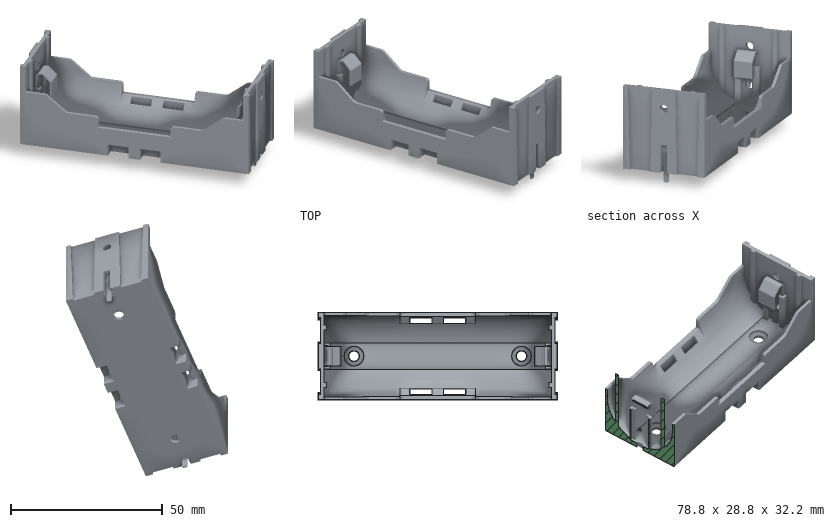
import cadquery as cq
import math

LENGTH = 78.8
WIDTH = 28.8
HEIGHT = 28.5
FLOOR = 2.0
FLOOR_WIDTH = 8.8

CRADLE_RADIUS = 13.4
CRADLE_AXIS_Z = 15.3
END_WALL = 2.0
INNER_X = LENGTH / 2 - END_WALL

SHOULDER_Z = 19.2
SHOULDER_X = 30.5
MIDDLE_Z = 13.55
MIDDLE_X = 23.4
GAP_Z = 9.7
GAP_X = 12.49
GAP_CORNER_RADIUS = 0.95
LOWER_BEND_RADII = (1.0, 2.7)
UPPER_BEND_RADII = (1.0, 2.0)

CHAMFER_TOP_Y = 13.0
CHAMFER_FOOT_Y = 10.7
WINDOW_LENGTH = 7.2
WINDOW_SPACING = 11.1
WINDOW_INNER_Y = 10.835
WINDOW_OUTER_Y = 12.6
WINDOW_NOTCH_Z = 4.0

RECESS_DEPTH = 0.8
PAD_TOP_Y = 4.2
PAD_BOTTOM_Y = 4.65
CORNER_TOP_Y = 12.7
CORNER_BOTTOM_Y = 11.9
RIB_DEPTH = 0.8
RIB_WIDTH = 1.6
RIB_Y = 9.45
RIB_FOOT_Z = 3.95
SIGHT_HOLE_DIAMETER = 2.8
SIGHT_HOLE_Z = 22.1

HOLDER_DEPTH = 1.9
HOLDER_WIDTH = 8.5
HOLDER_TOP_Z = 15.9
GROOVE_DEPTH = 1.3
GROOVE_WIDTH = 6.9
HOLDER_OPENING = 4.7
SLOT_WIDTH = 2.3
SLOT_TOP_Z = 9.8
SLOT_FLARE_WIDTH = 2.75
SLOT_FLARE_Z = 0.5

SCREW_X = 27.6
SCREW_DIAMETER = 3.4
COUNTERBORE_DIAMETER = 6.5
COUNTERBORE_DEPTH = 0.9

SHEET = 0.5
OUTER_BEND_RADIUS = 0.7
CONTACT_WIDTH = 6.5
CONTACT_TOP_Z = 21.1
BACK_TOP_Z = 20.1
FLAT_START = 1.0
FLAT_END = 2.6
NOSE = 5.5
NOSE_TOP_Z = 18.35
NOSE_BOTTOM_Z = 12.8
TAIL_WIDTH = 1.8
TAIL_LENGTH = 3.7
TAIL_CHAMFER = 0.4
PLATE_WINDOW_WIDTH = 2.5
PLATE_WINDOW_BOTTOM_Z = 7.8
PLATE_WINDOW_TOP_Z = 11.8
TONGUE_WIDTH = 1.3
TONGUE_BOTTOM_Z = 8.0
TONGUE_BEND_Z = 10.1
TONGUE_REACH = 0.4

ENDS = (-1, 1)


def box(x_range, y_range, z_range):
    """Box between pairs of coordinates, given in any order."""
    (x0, x1), (y0, y1), (z0, z1) = sorted(x_range), sorted(y_range), sorted(z_range)
    return cq.Workplane("XY").box(x1 - x0, y1 - y0, z1 - z0, centered=False).translate((x0, y0, z0))


def edges_at(x, z):
    """Selector for the edge parallel to Y at this place."""
    reach = 0.1
    return cq.selectors.BoxSelector((x - reach, -WIDTH, z - reach), (x + reach, WIDTH, z + reach))


def mirrored_at(end, shape):
    """Shape modelled at the -X end, placed at the -X (-1) or +X (1) end."""
    return shape if end < 0 else shape.mirror("YZ")


def side_outline():
    """Front outline of the housing, extruded over its width, with its bends rounded."""
    half = LENGTH / 2
    right_edge = [
        (GAP_X, GAP_Z),
        (GAP_X, MIDDLE_Z),
        (MIDDLE_X, MIDDLE_Z),
        (SHOULDER_X, SHOULDER_Z),
        (INNER_X, SHOULDER_Z),
        (INNER_X, HEIGHT),
        (half, HEIGHT),
        (half, 0),
    ]
    left_edge = [(-x, z) for x, z in reversed(right_edge)]
    block = cq.Workplane("XZ").polyline(right_edge + left_edge).close().extrude(WIDTH / 2, both=True)
    for end, lower_radius, upper_radius in zip(ENDS, LOWER_BEND_RADII, UPPER_BEND_RADII):
        block = block.edges(edges_at(end * GAP_X, MIDDLE_Z)).fillet(GAP_CORNER_RADIUS)
        block = block.edges(edges_at(end * MIDDLE_X, MIDDLE_Z)).fillet(lower_radius)
        block = block.edges(edges_at(end * SHOULDER_X, SHOULDER_Z)).fillet(upper_radius)
    return block


def cradle():
    """Round-bottomed trough between the end walls, with a flat strip along its floor."""
    trough = (
        cq.Workplane("YZ")
        .moveTo(-CRADLE_RADIUS, HEIGHT)
        .lineTo(-CRADLE_RADIUS, CRADLE_AXIS_Z)
        .threePointArc((0, CRADLE_AXIS_Z - CRADLE_RADIUS), (CRADLE_RADIUS, CRADLE_AXIS_Z))
        .lineTo(CRADLE_RADIUS, HEIGHT)
        .close()
        .extrude(INNER_X, both=True)
    )
    floor_sides = (-FLOOR_WIDTH / 2, FLOOR_WIDTH / 2)
    strip = box((-INNER_X, INNER_X), floor_sides, (FLOOR, CRADLE_AXIS_Z))
    under_floor = box((-INNER_X, INNER_X), floor_sides, (0, FLOOR))
    return trough.union(strip).cut(under_floor)


def gap_chamfers():
    """Sloped inner faces of both side walls along the finger gap."""
    foot_z = CRADLE_AXIS_Z - math.sqrt(CRADLE_RADIUS**2 - CHAMFER_FOOT_Y**2)
    half_section = [
        (CHAMFER_FOOT_Y, foot_z),
        (CHAMFER_TOP_Y, GAP_Z),
        (CHAMFER_FOOT_Y, GAP_Z),
    ]
    wedge = cq.Workplane("YZ").polyline(half_section).close().extrude(GAP_X, both=True)
    return wedge.union(wedge.mirror("XZ"))


def windows():
    """Windows through the sloped faces, open to the outside near the bottom."""
    cutters = cq.Workplane("XY")
    for side in (-1, 1):
        for place in (-1, 1):
            middle = place * WINDOW_SPACING / 2
            x_range = (middle - WINDOW_LENGTH / 2, middle + WINDOW_LENGTH / 2)
            inner = side * WINDOW_INNER_Y
            shaft = box(x_range, (inner, side * WINDOW_OUTER_Y), (0, GAP_Z))
            notch = box(x_range, (inner, side * WIDTH / 2), (0, WINDOW_NOTCH_Z))
            cutters = cutters.union(shaft).union(notch)
    return cutters


def end_recesses():
    """Two shallow, slightly tapered recesses on the outside of the -X end wall."""
    section = [
        (PAD_BOTTOM_Y, 0),
        (PAD_TOP_Y, HEIGHT),
        (CORNER_TOP_Y, HEIGHT),
        (CORNER_BOTTOM_Y, 0),
    ]
    recess = cq.Workplane("YZ", origin=(-LENGTH / 2, 0, 0)).polyline(section).close().extrude(RECESS_DEPTH)
    return recess.union(recess.mirror("XZ"))


def end_ribs():
    """Two upright ribs on the inside of the -X end wall."""
    ribs = cq.Workplane("XY")
    for side in (-1, 1):
        y_range = (side * RIB_Y - RIB_WIDTH / 2, side * RIB_Y + RIB_WIDTH / 2)
        ribs = ribs.union(box((-INNER_X, -INNER_X + RIB_DEPTH), y_range, (RIB_FOOT_Z, HEIGHT)))
    return ribs


def holder():
    """Pair of posts with lips that hold a contact against the -X end wall."""
    posts = box(
        (-INNER_X, -INNER_X + HOLDER_DEPTH),
        (-HOLDER_WIDTH / 2, HOLDER_WIDTH / 2),
        (FLOOR, HOLDER_TOP_Z),
    )
    groove = box(
        (-INNER_X, -INNER_X + GROOVE_DEPTH),
        (-GROOVE_WIDTH / 2, GROOVE_WIDTH / 2),
        (FLOOR, HOLDER_TOP_Z),
    )
    opening = box(
        (-INNER_X, -INNER_X + HOLDER_DEPTH),
        (-HOLDER_OPENING / 2, HOLDER_OPENING / 2),
        (FLOOR, HOLDER_TOP_Z),
    )
    return posts.cut(groove).cut(opening)


def contact_slot():
    """Slot through the -X end wall, flared at the bottom, and the tail opening in the floor."""
    half = SLOT_WIDTH / 2
    flare = SLOT_FLARE_WIDTH / 2
    section = [
        (-flare, 0),
        (-half, SLOT_FLARE_Z),
        (-half, SLOT_TOP_Z),
        (half, SLOT_TOP_Z),
        (half, SLOT_FLARE_Z),
        (flare, 0),
    ]
    slot = cq.Workplane("YZ", origin=(-LENGTH / 2, 0, 0)).polyline(section).close().extrude(END_WALL)
    floor_opening = box((-INNER_X, -INNER_X + GROOVE_DEPTH), (-half, half), (0, FLOOR))
    return slot.union(floor_opening)


def sight_hole():
    """Round hole through the -X end wall above the contact."""
    start = (-LENGTH / 2, 0, SIGHT_HOLE_Z)
    return cq.Workplane("YZ", origin=start).circle(SIGHT_HOLE_DIAMETER / 2).extrude(END_WALL)


def screw_hole():
    """Counterbored hole in the floor near the -X end."""
    hole = cq.Workplane("XY", origin=(-SCREW_X, 0, 0)).circle(SCREW_DIAMETER / 2).extrude(FLOOR)
    seat_origin = (-SCREW_X, 0, FLOOR - COUNTERBORE_DEPTH)
    seat = cq.Workplane("XY", origin=seat_origin).circle(COUNTERBORE_DIAMETER / 2).extrude(COUNTERBORE_DEPTH)
    return hole.union(seat)


def make_housing():
    body = side_outline().cut(cradle()).cut(gap_chamfers()).cut(windows())
    for end in ENDS:
        for added in (end_ribs(), holder()):
            body = body.union(mirrored_at(end, added))
        for removed in (end_recesses(), contact_slot(), sight_hole(), screw_hole()):
            body = body.cut(mirrored_at(end, removed))
    return body


def bent_sheet(path, width):
    """Sheet with rounded bends; path is its outer face in X and Z, and metal lies to its right."""
    headings = [math.atan2(z1 - z0, x1 - x0) for (x0, z0), (x1, z1) in zip(path, path[1:])]
    before = headings[:1] + headings
    after = headings + headings[-1:]
    inner = []
    for (x, z), angle_in, angle_out in zip(path, before, after):
        miter = SHEET / math.cos((angle_out - angle_in) / 2)
        inward = (angle_in + angle_out) / 2 - math.pi / 2
        inner.append((x + miter * math.cos(inward), z + miter * math.sin(inward)))
    outline = path + inner[::-1]
    sheet = cq.Workplane("XZ").polyline(outline).close().extrude(width / 2, both=True)
    for outside, inside in zip(path[1:-1], inner[1:-1]):
        sheet = sheet.edges(edges_at(*outside)).fillet(OUTER_BEND_RADIUS)
        sheet = sheet.edges(edges_at(*inside)).fillet(OUTER_BEND_RADIUS - SHEET)
    return sheet


def contact_tail():
    """Narrow solder tail with a chamfered tip, reaching down from the back plate."""
    tail = box((-INNER_X, -INNER_X + SHEET), (-TAIL_WIDTH / 2, TAIL_WIDTH / 2), (-TAIL_LENGTH, FLOOR))
    return tail.faces("<Z").edges("|X").chamfer(TAIL_CHAMFER)


def make_contact(end):
    spring = bent_sheet(
        [
            (-INNER_X, FLOOR),
            (-INNER_X, BACK_TOP_Z),
            (-INNER_X + FLAT_START, CONTACT_TOP_Z),
            (-INNER_X + FLAT_END, CONTACT_TOP_Z),
            (-INNER_X + NOSE, NOSE_TOP_Z),
            (-INNER_X + NOSE, NOSE_BOTTOM_Z),
        ],
        CONTACT_WIDTH,
    )
    plate_window = box(
        (-INNER_X, -INNER_X + SHEET),
        (-PLATE_WINDOW_WIDTH / 2, PLATE_WINDOW_WIDTH / 2),
        (PLATE_WINDOW_BOTTOM_Z, PLATE_WINDOW_TOP_Z),
    )
    tongue = bent_sheet(
        [
            (-INNER_X + TONGUE_REACH, TONGUE_BOTTOM_Z),
            (-INNER_X, TONGUE_BEND_Z),
            (-INNER_X, PLATE_WINDOW_TOP_Z),
        ],
        TONGUE_WIDTH,
    )
    contact = spring.cut(plate_window).union(tongue).union(contact_tail())
    return mirrored_at(end, contact)


housing = make_housing()
contacts = [make_contact(end) for end in ENDS]

result = cq.Compound.makeCompound([housing.val(), *[contact.val() for contact in contacts]])